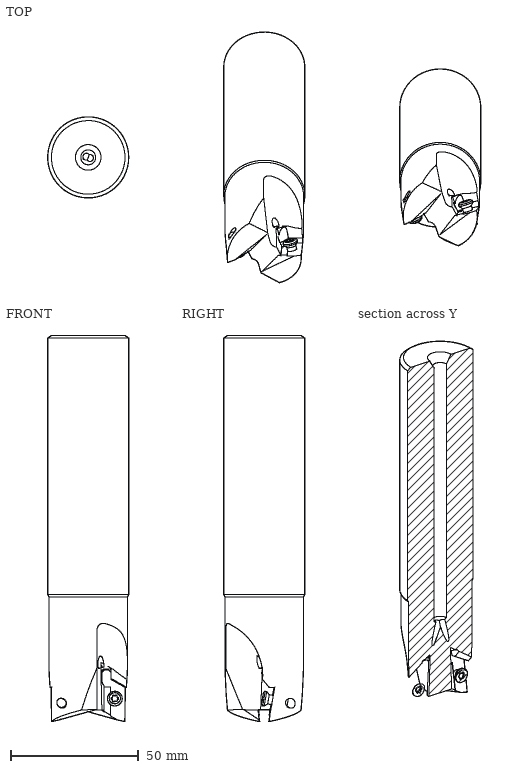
import cadquery as cq
import math


total_length = 150.84
shank_diameter = 31.75
shank_chamfer_radial = 1.5
shank_chamfer_height = 1.1
neck_diameter = 30.8
neck_top = 48.7
neck_step_height = 0.8
taper_start = 20.9
tip_diameter = 28.9
flute_count = 2
outside = 20.0
block_size = 3 * outside
below_end = -5.0

centre_cone_diameter = 10.0
bore_diameter = 5.8
centre_cone_angle = 60.0
bore_end = 36.5
drill_point_angle = 118.0
branch_diameter = 2.7
branch_start = 38.0
branch_exit = (4.4, -1.6, 24.0)
branch_overrun = 3.0

flute_floor = 3.4
flute_wall_offset = 0.6
flute_lean = 3.0
flute_straight_top = 16.4
flute_radius = 22.5
flute_runout_angle = 61.0
flute_fillet = 3.0

seat_offset = 1.75
seat_rake = 10.0
seat_left = 6.1
seat_top_at_left = 18.3
seat_top_slope = 0.58
pocket_depth = 6.0
side_draft = 11.0
top_step = 2.2
top_draft = 42.0
relief_left = 5.3
relief_right = 9.0
relief_bottom = 14.0
relief_top = 20.5
relief_corner_radius = 1.8
rib_right = 8.7
rib_top = 13.7
rib_height = 0.3

end_dish = 0.21
end_relief = 0.165
lip_corner = (14.3, 2.3, 0.0)
gash_top = 4.5
gash_outer_point = (11.0, 1.9, 0.8)
gash_inner_point = (7.0, 2.2, 3.3)
gash_back_point = (7.0, 3.7, 1.8)
gash_front = -2.3

back_flat_distance = 8.5
back_flat_height = 5.0
back_flat_tilt = 16.0
back_flat_reach = 4.4
back_flat_inner = -2.0

screw_x = 10.4
screw_height = 8.5
screw_diameter = 3.7
screw_end_depth = 6.0
head_diameter = 5.8
head_face_diameter = 4.4
head_top = 4.0
head_edge = 3.4
head_cone_top = 2.8
head_cone_bottom = 1.6
socket_core_radius = 1.1
socket_lobe_radius = 0.35
socket_lobe_count = 6
socket_depth = 1.5


def around_axis(shape):
    """Return one copy of the shape per flute."""
    step = 360.0 / flute_count
    return [shape.rotate((0, 0, 0), (0, 0, 1), i * step) for i in range(flute_count)]


def seat_plane():
    rake = math.radians(seat_rake)
    return cq.Plane(
        origin=(0, seat_offset, 0),
        xDir=(1, 0, 0),
        normal=(0, -math.cos(rake), math.sin(rake)),
    )


def screw_plane():
    seat = seat_plane()
    return cq.Plane(
        origin=seat.toWorldCoords((screw_x, screw_height, 0)).toTuple(),
        xDir=seat.xDir.toTuple(),
        normal=seat.zDir.toTuple(),
    )


def half_space_block(origin, normal):
    """Return a large block on the side of a plane that the normal points to."""
    boundary = cq.Workplane(cq.Plane(origin=origin, normal=normal))
    return boundary.rect(block_size, block_size).extrude(block_size)


def make_blank():
    shank_radius = shank_diameter / 2
    neck_radius = neck_diameter / 2
    return (
        cq.Workplane("XZ")
        .moveTo(0, 0)
        .lineTo(tip_diameter / 2, 0)
        .lineTo(neck_radius, taper_start)
        .lineTo(neck_radius, neck_top)
        .lineTo(shank_radius, neck_top + neck_step_height)
        .lineTo(shank_radius, total_length - shank_chamfer_height)
        .lineTo(shank_radius - shank_chamfer_radial, total_length)
        .lineTo(0, total_length)
        .close()
        .revolve(360, (0, 0, 0), (0, 1, 0))
    )


def make_bore():
    bore_radius = bore_diameter / 2
    cone_radius = centre_cone_diameter / 2
    cone_depth = (cone_radius - bore_radius) / math.tan(math.radians(centre_cone_angle / 2))
    point_depth = bore_radius / math.tan(math.radians(drill_point_angle / 2))
    return (
        cq.Workplane("XZ")
        .moveTo(0, bore_end - point_depth)
        .lineTo(bore_radius, bore_end)
        .lineTo(bore_radius, total_length - cone_depth)
        .lineTo(cone_radius, total_length)
        .lineTo(0, total_length)
        .close()
        .revolve(360, (0, 0, 0), (0, 1, 0))
    )


def make_coolant_branch():
    start = cq.Vector(0, 0, branch_start)
    path = cq.Vector(*branch_exit) - start
    return cq.Workplane(
        cq.Solid.makeCylinder(branch_diameter / 2, path.Length + branch_overrun, start, path)
    )


def make_flute():
    lean = math.radians(flute_lean)
    runout = math.radians(flute_runout_angle)
    arc_start = (-flute_wall_offset, flute_straight_top)
    center_y = arc_start[0] - flute_radius * math.cos(lean)
    center_z = arc_start[1] + flute_radius * math.sin(lean)

    def on_arc(angle):
        return (
            center_y + flute_radius * math.cos(angle),
            center_z + flute_radius * math.sin(angle),
        )

    arc_end = on_arc(runout)
    wall_bottom_y = arc_start[0] - (flute_straight_top - below_end) * math.tan(lean)
    runout_z = arc_end[1] + (arc_end[0] + outside) / math.tan(runout)
    flute = (
        cq.Workplane("YZ", origin=(flute_floor, 0, 0))
        .moveTo(-outside, below_end)
        .lineTo(wall_bottom_y, below_end)
        .lineTo(*arc_start)
        .threePointArc(on_arc((runout - lean) / 2), arc_end)
        .lineTo(-outside, runout_z)
        .close()
        .extrude(outside)
    )
    floor_edges = flute.faces("<X").edges()
    open_edges = floor_edges.edges("<Y").add(floor_edges.edges("<Z"))
    wall_edges = [
        edge for edge in floor_edges.vals()
        if not any(edge.isSame(open_edge) for open_edge in open_edges.vals())
    ]
    return flute.newObject(wall_edges).fillet(flute_fillet)


def pocket_outline(height):
    """Return the corners of the insert pocket at a height above the seat."""
    left = seat_left - height * math.tan(math.radians(side_draft))
    top_shift = max(height - top_step, 0) * math.tan(math.radians(top_draft))

    def top_at(x):
        return seat_top_at_left - seat_top_slope * (x - seat_left) + top_shift

    return [(left, below_end), (outside, below_end), (outside, top_at(outside)), (left, top_at(left))]


def pocket_stage(start, end):
    """Return the part of the insert pocket between two heights above the seat."""
    return (
        cq.Workplane(seat_plane())
        .workplane(offset=start)
        .polyline(pocket_outline(start))
        .close()
        .workplane(offset=end - start)
        .polyline(pocket_outline(end))
        .close()
        .loft(ruled=True)
    )


def make_insert_pocket():
    seat = seat_plane()
    pocket = pocket_stage(0, top_step).union(pocket_stage(top_step, pocket_depth))
    relief_width = relief_right - relief_left
    relief_height = relief_top - relief_bottom
    relief = (
        cq.Workplane(seat)
        .center(relief_left + relief_width / 2, relief_bottom + relief_height / 2)
        .rect(relief_width, relief_height)
        .extrude(pocket_depth)
        .edges(cq.selectors.ParallelDirSelector(seat.zDir))
        .fillet(relief_corner_radius)
    )
    rib_width = rib_right - seat_left
    rib = (
        cq.Workplane(seat)
        .center(seat_left + rib_width / 2, (rib_top + below_end) / 2)
        .rect(rib_width, rib_top - below_end)
        .extrude(rib_height)
    )
    return pocket.union(relief).cut(rib)


def make_end_clearance():
    """Sloping end face of the lip, limited to the lip's own side of the axis."""
    below = half_space_block(lip_corner, (-end_dish, end_relief, -1))
    lip_side = cq.Workplane().box(2 * outside, outside, 2 * outside, centered=(True, False, True))
    return below.intersect(lip_side)


def make_end_gash():
    """Clearance below the web, flat on top and running out along the lip."""
    origin = cq.Vector(*gash_inner_point)
    along = cq.Vector(*gash_outer_point) - origin
    back = cq.Vector(*gash_back_point) - origin
    normal = along.cross(back)
    if normal.z > 0:
        normal = normal * -1
    below = half_space_block(gash_inner_point, normal.toTuple())
    limits = cq.Workplane().box(outside + seat_left, outside, outside, centered=False)
    limits = limits.translate((-seat_left, gash_front, gash_top - outside))
    return below.intersect(limits)


def make_back_flat():
    tilt = math.radians(back_flat_tilt)
    side = math.cos(tilt) / math.sqrt(2)
    offset = back_flat_distance / math.sqrt(2)
    removed = half_space_block((offset, -offset, back_flat_height), (side, -side, -math.sin(tilt)))
    limits = cq.Workplane().box(2 * outside, outside, 3 * outside, centered=(True, False, True))
    limits = limits.translate((back_flat_reach - outside, back_flat_inner - outside, 0))
    return removed.intersect(limits)


def make_screw():
    shank_radius = screw_diameter / 2
    screw = (
        cq.Workplane("XZ")
        .moveTo(0, -screw_end_depth)
        .lineTo(shank_radius, -screw_end_depth)
        .lineTo(shank_radius, head_cone_bottom)
        .lineTo(head_diameter / 2, head_cone_top)
        .lineTo(head_diameter / 2, head_edge)
        .lineTo(head_face_diameter / 2, head_top)
        .lineTo(0, head_top)
        .close()
        .revolve(360, (0, 0, 0), (0, 1, 0))
    )
    socket_start = cq.Workplane("XY", origin=(0, 0, head_top - socket_depth))
    socket = socket_start.circle(socket_core_radius).extrude(socket_depth)
    lobes = (
        socket_start.polarArray(socket_core_radius, 0, 360, socket_lobe_count)
        .circle(socket_lobe_radius)
        .extrude(socket_depth)
    )
    screw = screw.cut(socket).cut(lobes)
    return cq.Workplane(screw.val().moved(cq.Location(screw_plane())))


def make_screw_hole():
    return (
        cq.Workplane(screw_plane())
        .workplane(offset=-outside)
        .circle(screw_diameter / 2)
        .extrude(outside + pocket_depth)
    )


def make_body():
    body = make_blank().cut(make_bore())
    cutters = [
        make_flute(),
        make_insert_pocket(),
        make_end_clearance(),
        make_end_gash(),
        make_back_flat(),
        make_screw_hole(),
        make_coolant_branch(),
    ]
    for cutter in cutters:
        for copy in around_axis(cutter):
            body = body.cut(copy)
    return body


body = make_body()
screws = around_axis(make_screw())

result = cq.Compound.makeCompound([body.val(), *[screw.val() for screw in screws]])